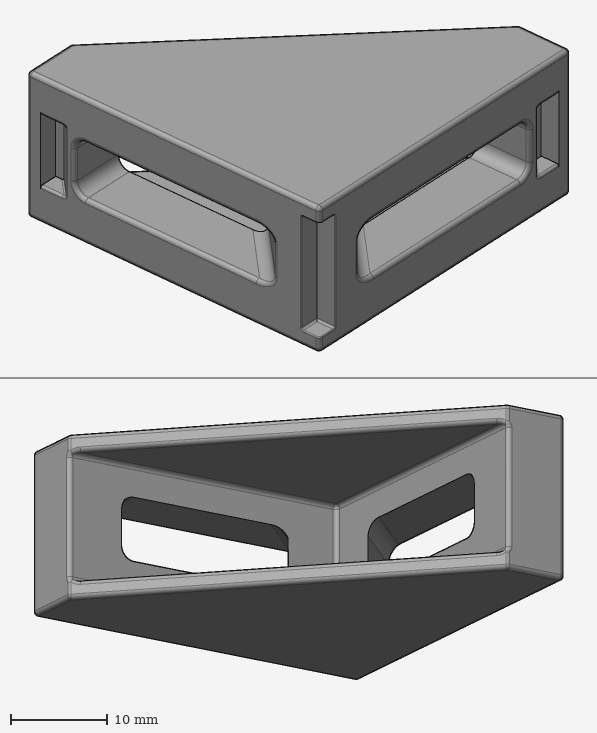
import cadquery as cq
side = 40.0
height = 18.0
wall = 7.0
plate = 2.0
edge_radius = 0.5
middle = height / 2

slot_start = 6.5
slot_end = 34.0
slot_height = 7.0
slot_corner_radius = 1.5

pocket_start = 1.9
pocket_floor_end = 3.0
pocket_depth = 2.4
pocket_height = 8.8
pocket_mouth_radius = 0.3
pocket_corner_radius = 0.2
ramp_end = pocket_floor_end + pocket_depth

notch_depth = 2.5
notch_height = 14.15
notch_mouth_radius = 0.1
notch_corner_radius = 0.25

margin = 0.005


def prism(points, prism_height):
    """Upright prism over the given outline, centred on mid-height."""
    base = cq.Workplane("XY").workplane(offset=middle - prism_height / 2)
    return base.polyline(points).close().extrude(prism_height)


def within(x_min, x_max, y_min, y_max):
    """Selector for edges between the plates that lie wholly inside a rectangle in X and Y."""
    half = max(notch_height, height - 2 * plate) / 2
    low = (x_min - margin, y_min - margin, middle - half - margin)
    high = (x_max + margin, y_max + margin, middle + half + margin)
    return cq.selectors.BoxSelector(low, high, boundingbox=True)


def swap_walls(shape):
    """Mirror in the plane X + Y = side, which carries each wall onto the other."""
    return shape.mirror(cq.Vector(1, 1, 0), (side, 0, 0))


def make_body():
    """Triangular gusset, hollow between its plates, with every edge rounded."""
    body = prism([(0, 0), (side, 0), (side, side), (side - wall, side), (0, wall)], height)

    inner = side - wall
    far = side + wall
    hollow = prism([(-wall, wall), (inner, wall), (inner, far), (-wall, far)], height - 2 * plate)
    hollow = hollow.faces(">X or <Y").edges("not (<X or >Y)").fillet(edge_radius)
    body = body.cut(hollow)

    flat_sides = cq.selectors.StringSyntaxSelector("<X or >X or <Y or >Y or <Z or >Z")
    sloping_side = cq.selectors.DirectionMinMaxSelector(cq.Vector(-1, 1, 0))
    return body.faces(flat_sides + sloping_side).edges().fillet(edge_radius)


def cut_slot(shape):
    """Through slot in the wall at Y = 0, with one sloping end and a rounded mouth."""
    outline = [(slot_start, 0), (slot_end, 0), (slot_end - wall, wall), (slot_start, wall)]
    slot = prism(outline, slot_height)
    straight_end = cq.selectors.ParallelDirSelector(cq.Vector(0, 1, 0))
    sloping_end = cq.selectors.ParallelDirSelector(cq.Vector(-1, 1, 0))
    slot = slot.edges(straight_end + sloping_end).fillet(slot_corner_radius)
    mouth = within(slot_start, slot_end, 0, 0)
    return shape.cut(slot).edges(mouth).fillet(edge_radius)


def cut_pocket(shape):
    """Blind pocket in the wall at Y = 0, whose floor ramps up towards the slot."""
    outline = [(pocket_start, 0), (ramp_end, 0), (pocket_floor_end, pocket_depth), (pocket_start, pocket_depth)]
    pocket = prism(outline, pocket_height)
    ramp = within(pocket_floor_end, ramp_end, 0, pocket_depth)
    pocket = pocket.edges(ramp).edges("#Z or (|Z and >Y)").fillet(pocket_corner_radius)

    mouth = shape.cut(pocket).edges(within(pocket_start, ramp_end, 0, 0))
    return mouth.edges("not (|Z and <X)").fillet(pocket_mouth_radius)


def cut_notch(shape):
    """Square notch along the corner of the two walls, with rounded ends and a rounded mouth."""
    near = side - notch_depth
    notch = prism([(near, 0), (side, 0), (side, notch_depth), (near, notch_depth)], notch_height)
    notch = notch.faces("<X or >Y").edges("#Z").edges("<X or >Y").fillet(notch_corner_radius)
    mouth_on_front = within(near, side - margin, 0, edge_radius)
    mouth_on_side = within(side - edge_radius, side, 0, notch_depth)
    return shape.cut(notch).edges(mouth_on_front + mouth_on_side).fillet(notch_mouth_radius)


result = make_body()

for _ in range(2):
    result = swap_walls(cut_pocket(cut_slot(result)))

result = cut_notch(result)